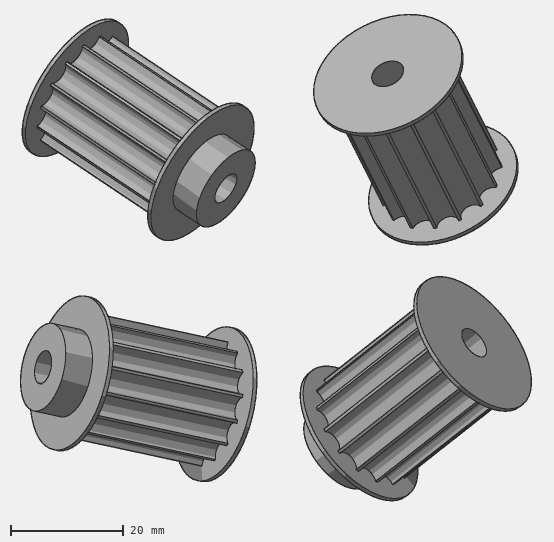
import cadquery as cq
import math

total_length = 36.0
hub_length = 5.5
flange_thickness = 1.25
flange_rim_width = 0.8
body_length = total_length - hub_length

flange_diameter = 28.0
hub_diameter = 16.0
bore_diameter = 6.0
tooth_tip_diameter = 22.7

tooth_count = 15
tooth_land_width = 0.58
groove_depth = 2.05

tip_radius = tooth_tip_diameter / 2
pitch_angle = 2 * math.pi / tooth_count
land_half_angle = math.asin(tooth_land_width / 2 / tip_radius)


def polar(radius, angle):
    """Point in the YZ plane at an angle measured from +Y toward +Z."""
    return (radius * math.cos(angle), radius * math.sin(angle))


def toothed_core():
    """Core with narrow tooth lands separated by round-bottomed grooves."""
    outline = cq.Workplane("YZ").moveTo(*polar(tip_radius, math.pi - land_half_angle))
    for tooth in range(tooth_count):
        tooth_angle = math.pi + tooth * pitch_angle
        groove_angle = tooth_angle + pitch_angle / 2
        next_land_start = tooth_angle + pitch_angle - land_half_angle
        outline = outline.threePointArc(
            polar(tip_radius, tooth_angle),
            polar(tip_radius, tooth_angle + land_half_angle),
        )
        outline = outline.threePointArc(
            polar(tip_radius - groove_depth, groove_angle),
            polar(tip_radius, next_land_start),
        )
    return outline.close().extrude(body_length)


def flange(outer_face_x, inward):
    """Disc with a cylindrical rim and an inner face coned down to the tooth tips."""
    rim_edge_x = outer_face_x + inward * flange_rim_width
    inner_face_x = outer_face_x + inward * flange_thickness
    half_section = [
        (outer_face_x, 0),
        (outer_face_x, flange_diameter / 2),
        (rim_edge_x, flange_diameter / 2),
        (inner_face_x, tip_radius),
        (inner_face_x, 0),
    ]
    return cq.Workplane("XY").polyline(half_section).close().revolve(360, (0, 0, 0), (1, 0, 0))


def cylinder_along_x(diameter, start_x, length):
    return cq.Workplane("YZ", origin=(start_x, 0, 0)).circle(diameter / 2).extrude(length)


hub = cylinder_along_x(hub_diameter, body_length, hub_length)
bore = cylinder_along_x(bore_diameter, 0, total_length)

result = (
    toothed_core()
    .union(flange(0, 1))
    .union(flange(body_length, -1))
    .union(hub)
    .cut(bore)
)